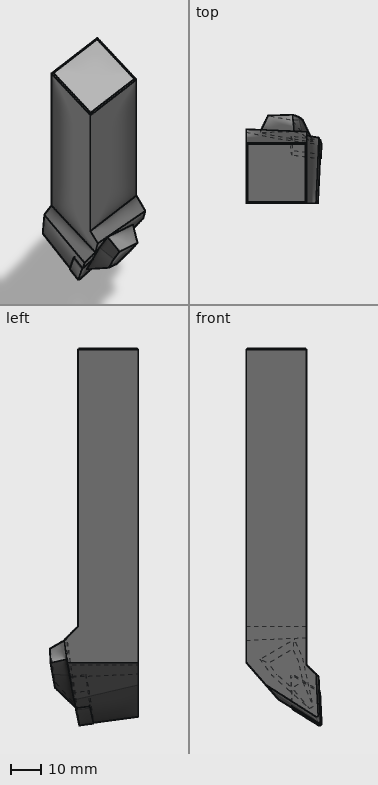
import cadquery as cq
import math

shank_width = 20.0
tool_length = 125.0
shank_chamfer = 0.5

head_depth = 28.8
left_bevel_height = 20.9
left_bevel_angle = 48.9
flange_height = 20.1
flange_angle = 44.0
flange_reach = 7.5

ramp_height = 32.9
ramp_angle = 45.0

seat_height = 20.8
seat_slope_x = -0.049
seat_slope_z = 0.135

insert_edge = 11.6
insert_thickness = 4.8
insert_corner_angle = 55.0
insert_nose_radius = 0.8
lead_angle = 93.0
insert_tip = (25.1, -0.65)
insert_overhang = 0.3

clamp_height = 5.9
clamp_back_center = (10.9, 24.1)
clamp_back_width = 9.4
clamp_side_length = 4.6
clamp_side_angle = 6.0
clamp_length = 11.1
clamp_front_angle = 18.0
clamp_draft = 16.0
clamp_nose_slope = 59.0

bisector = lead_angle + insert_corner_angle / 2

seat = cq.Plane(
    origin=(0, seat_height, 0),
    xDir=(1, seat_slope_x, 0),
    normal=(seat_slope_x, -1, seat_slope_z),
)


def polar(length, angle):
    """Step of the given length and direction in degrees."""
    return (length * math.cos(math.radians(angle)), length * math.sin(math.radians(angle)))


def shifted(point, step):
    return (point[0] + step[0], point[1] + step[1])


def rhombus(corner, edge):
    """Corners of a rhombus with the insert's corner angle, starting at its tip."""
    right = polar(edge, lead_angle)
    left = polar(edge, lead_angle + insert_corner_angle)
    return [corner, shifted(corner, right), shifted(shifted(corner, right), left), shifted(corner, left)]


def rhombic_prism(corner, edge, depth, radius):
    """Prism below the seat plane, square to it, with rounded upright edges."""
    prism = cq.Workplane(seat).polyline(rhombus(corner, edge)).close().extrude(depth)
    return prism.edges(cq.selectors.ParallelDirSelector(seat.zDir)).fillet(radius)


def make_insert():
    return rhombic_prism(insert_tip, insert_edge, insert_thickness, insert_nose_radius)


def make_shank():
    """Square bar above the head."""
    shank_length = tool_length - ramp_height
    bar = (
        cq.Workplane("XY")
        .workplane(offset=ramp_height)
        .rect(shank_width, shank_width)
        .extrude(shank_length)
        .translate((shank_width / 2, shank_width / 2, 0))
    )
    return bar.faces(">Z").chamfer(shank_chamfer)


def make_head():
    """Bevelled and flanged head, common to its outlines along Y and along X."""
    bevel_run = left_bevel_height / math.tan(math.radians(left_bevel_angle))
    right_end = shank_width + flange_reach
    flange_drop = flange_reach * math.tan(math.radians(flange_angle))
    front = (
        cq.Workplane("XZ")
        .polyline([
            (0, ramp_height),
            (0, left_bevel_height),
            (bevel_run, 0),
            (right_end, 0),
            (right_end, flange_height - flange_drop),
            (shank_width, flange_height),
            (shank_width, ramp_height),
        ])
        .close()
        .extrude(-head_depth)
    )
    ramp_drop = (head_depth - shank_width) * math.tan(math.radians(ramp_angle))
    side = (
        cq.Workplane("YZ")
        .polyline([
            (0, 0),
            (head_depth, 0),
            (head_depth, ramp_height - ramp_drop),
            (shank_width, ramp_height),
            (0, ramp_height),
        ])
        .close()
        .extrude(right_end)
    )
    return trim_head(front.intersect(side))


def trim_head(head):
    """Keep what lies below the seat plane and between the two cutting sides."""
    inset = insert_overhang / math.sin(math.radians(insert_corner_angle / 2))
    corner = shifted(insert_tip, polar(inset, bisector))
    far = tool_length / 2
    wedge = rhombic_prism(corner, far, far, insert_nose_radius - insert_overhang)
    return head.intersect(wedge)


def make_clamp():
    """Drafted boss, symmetric about the bisector of the insert tip."""
    half_back = clamp_back_width / 2
    side_run, side_rise = polar(clamp_side_length, clamp_side_angle)
    waist = half_back - side_rise
    point_run = waist / math.tan(math.radians(clamp_front_angle))

    top = cq.Plane(
        origin=seat.toWorldCoords((*clamp_back_center, -clamp_height)),
        xDir=seat.toWorldCoords(polar(-1.3, bisector)) - seat.origin,
        normal=seat.zDir,
    )
    outline = [
        (0, -half_back),
        (side_run, -waist),
        (side_run + point_run, 0),
        (side_run, waist),
        (0, half_back),
    ]
    spread = clamp_height * math.tan(math.radians(clamp_draft))
    crown = cq.Workplane(top).polyline(outline).close()
    foot = (
        cq.Workplane(top)
        .workplane(offset=clamp_height)
        .polyline(outline)
        .close()
        .offset2D(spread, "intersection")
    )
    boss = cq.Workplane(cq.Solid.makeLoft([crown.wires().val(), foot.wires().val()], True))
    nose_reach = clamp_height * math.tan(math.radians(clamp_nose_slope))
    past_point = 2 * (side_run + point_run)
    nose_cut = (
        cq.Workplane(cq.Plane(origin=top.origin, xDir=top.xDir, normal=-top.yDir))
        .polyline([
            (clamp_length, 0),
            (clamp_length + nose_reach, clamp_height),
            (past_point, clamp_height),
            (past_point, 0),
        ])
        .close()
        .extrude(2 * clamp_back_width, both=True)
    )
    return boss.cut(nose_cut)


insert = make_insert()
holder = make_shank().union(make_head()).union(make_clamp()).cut(insert)
result = cq.Compound.makeCompound([holder.val(), insert.val()])